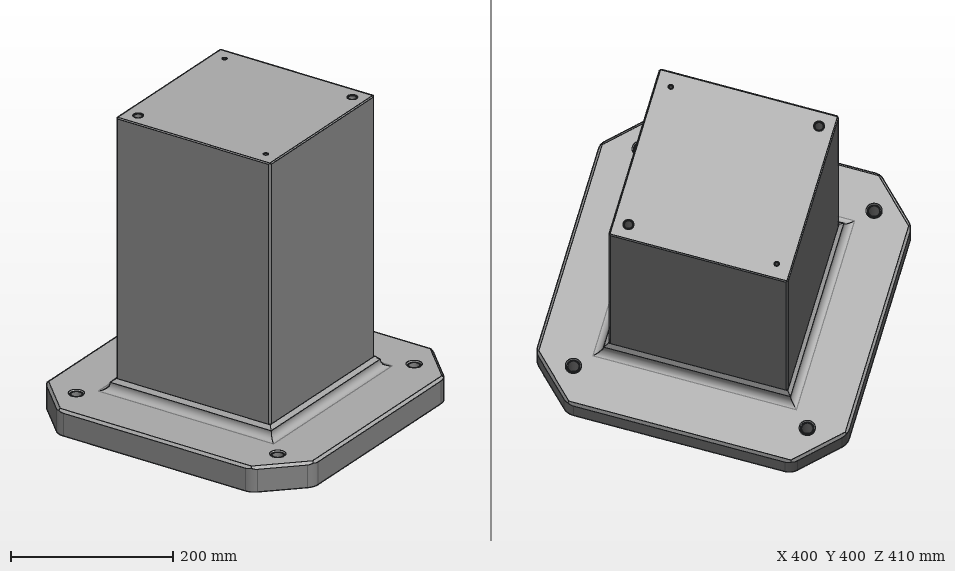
import cadquery as cq
import math

total_height = 410.0

plate_side = 400.0
plate_thickness = 35.0
plate_corner_cut = 56.0
plate_corner_radius = 20.0
plate_edge_chamfer = 3.5

post_side = 230.0
post_corner_chamfer = 2.5
post_top_chamfer = 1.5

cove_radius = 10.5
shoulder_width = 5.0

plate_hole_offset = 150.0
plate_hole_diameter = 14.0
plate_hole_seat_diameter = 17.0
plate_hole_rim_diameter = 20.0

post_hole_offset = 95.0
bolt_hole_diameter = 10.2
bolt_hole_seat_diameter = 12.0
bolt_hole_rim_diameter = 13.5
bolt_hole_depth = 25.0
pin_hole_diameter = 4.0
pin_hole_seat_diameter = 5.5
pin_hole_rim_diameter = 6.5
pin_hole_depth = 15.0
drill_point_angle = 118


def make_block(side, height):
    """Square block centred on the Z axis and standing on the ground plane."""
    return cq.Workplane("XY").box(side, side, height, centered=(True, True, False))


def chamfer_top(block, chamfer):
    """Chamfer the top edge, leaving sharp mitres at the corners."""
    return block.faces(">Z").edges().chamfer(chamfer)


def make_plate():
    """Square plate with cut corners, rounded at the upright edges below the top face."""
    plate = make_block(plate_side, plate_thickness).edges("|Z").chamfer(plate_corner_cut)
    rounded_plate = plate.edges("|Z").fillet(plate_corner_radius)
    return chamfer_top(plate, plate_edge_chamfer).intersect(rounded_plate)


def make_post():
    """Full-height square post, its upright edges chamfered below the top face."""
    post = make_block(post_side, total_height)
    chamfered_post = post.edges("|Z").chamfer(post_corner_chamfer)
    return chamfer_top(post, post_top_chamfer).intersect(chamfered_post)


def make_collar():
    """Mitred collar: a square block with a sloped top shoulder, and coves cut along its sides."""
    shoulder_side = post_side + 2 * shoulder_width
    foot_side = shoulder_side + 2 * cove_radius
    cove_top = plate_thickness + cove_radius
    cove_block = cq.Workplane("XY").workplane(offset=plate_thickness)
    cove_block = cove_block.rect(foot_side, foot_side).extrude(cove_radius)
    cove_axis = cq.Workplane("XZ", origin=(0, foot_side / 2, 0)).center(foot_side / 2, cove_top)
    cove_cutter = cove_axis.circle(cove_radius).extrude(foot_side)
    for quarter in range(4):
        cove_block = cove_block.cut(cove_cutter.rotate((0, 0, 0), (0, 0, 1), 90 * quarter))
    shoulder = cq.Workplane("XY").workplane(offset=cove_top)
    shoulder = shoulder.rect(shoulder_side, shoulder_side).extrude(shoulder_width, taper=45)
    return cove_block.union(shoulder)


def make_hole_cutter(diameter, seat_diameter, rim_diameter, depth, tip_length=0):
    """Hole going down from the origin: 45 degree countersink, flat seat, bore and optional conical tip."""
    radius = diameter / 2
    seat_radius = seat_diameter / 2
    rim_radius = rim_diameter / 2
    seat_depth = rim_radius - seat_radius
    profile = (
        cq.Workplane("XZ")
        .moveTo(0, 0)
        .lineTo(rim_radius, 0)
        .lineTo(seat_radius, -seat_depth)
        .lineTo(radius, -seat_depth)
        .lineTo(radius, -depth)
        .lineTo(0, -depth - tip_length)
        .close()
    )
    return profile.revolve(360, (0, 0, 0), (0, 1, 0))


def make_blind_hole_cutter(diameter, seat_diameter, rim_diameter, depth):
    """Blind hole whose conical tip is left by the drill point."""
    tip_length = diameter / 2 / math.tan(math.radians(drill_point_angle / 2))
    return make_hole_cutter(diameter, seat_diameter, rim_diameter, depth, tip_length)


plate_hole = make_hole_cutter(
    plate_hole_diameter, plate_hole_seat_diameter, plate_hole_rim_diameter, plate_thickness
)
bolt_hole = make_blind_hole_cutter(
    bolt_hole_diameter, bolt_hole_seat_diameter, bolt_hole_rim_diameter, bolt_hole_depth
)
pin_hole = make_blind_hole_cutter(
    pin_hole_diameter, pin_hole_seat_diameter, pin_hole_rim_diameter, pin_hole_depth
)

result = make_plate().union(make_post()).union(make_collar())

for x_sign in (-1, 1):
    for y_sign in (-1, 1):
        plate_hole_spot = (x_sign * plate_hole_offset, y_sign * plate_hole_offset, plate_thickness)
        result = result.cut(plate_hole.translate(plate_hole_spot))
        post_hole = bolt_hole if x_sign == y_sign else pin_hole
        post_hole_spot = (x_sign * post_hole_offset, y_sign * post_hole_offset, total_height)
        result = result.cut(post_hole.translate(post_hole_spot))